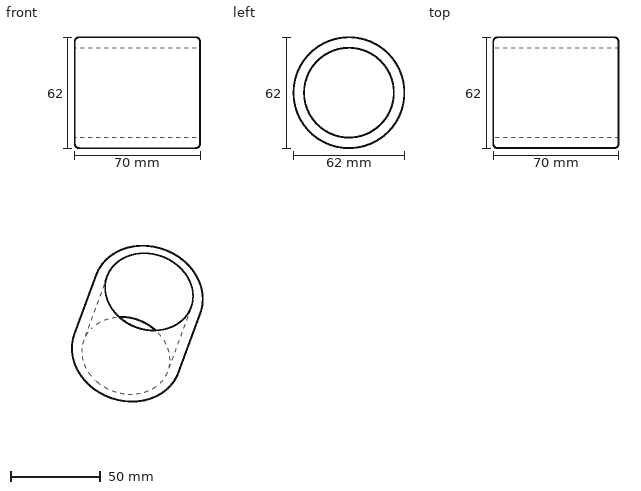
import cadquery as cq

length = 70.0
outer_diameter = 62.0
bore_diameter = 50.0
rim_radius = 2.5

end_plane = cq.Workplane("YZ", origin=(-length / 2, 0, 0))

body = (
    end_plane
    .circle(outer_diameter / 2)
    .extrude(length)
    .faces("<X or >X")
    .edges()
    .fillet(rim_radius)
)

bore = end_plane.circle(bore_diameter / 2).extrude(length)

result = body.cut(bore)